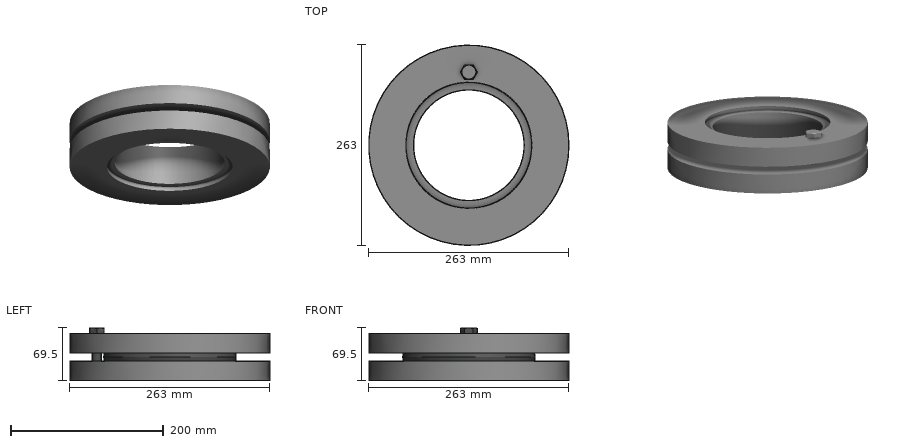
import cadquery as cq
import math

flange_diameter = 263.0
flange_thickness = 25.8
flange_gap = 10.5
pack_height = 2 * flange_thickness + flange_gap
half_pack = pack_height / 2

ring_bore_diameter = 145.0
ridge_diameter = 174.0
flange_mouth_diameter = 165.0
ring_recess = 5.8
half_ring = half_pack - ring_recess

bolt_offset = 96.0
shank_diameter = 12.0
head_height = 7.4
head_across_flats = 19.2
head_face_diameter = 18.5
head_chamfer_angle = 30.0


def cone_radius(height):
    """Radius of the shared conical seat at a height from the middle plane."""
    taper = (ridge_diameter - flange_mouth_diameter) / 2 / half_pack
    return ridge_diameter / 2 - taper * abs(height)


def revolve_about_z(points):
    """Revolve a closed (radius, height) outline about the Z axis."""
    return cq.Workplane("XZ").polyline(points).close().revolve(360, (0, 0, 0), (0, 1, 0))


def make_flange(side):
    """Flange with a tapered bore and bolt hole; side is 1 for upper, -1 for lower."""
    inner_face = side * flange_gap / 2
    outer_face = side * half_pack
    flange = revolve_about_z([
        (cone_radius(inner_face), inner_face),
        (flange_diameter / 2, inner_face),
        (flange_diameter / 2, outer_face),
        (cone_radius(outer_face), outer_face),
    ])
    bolt_hole = (
        cq.Workplane("XY", origin=(0, bolt_offset, -half_pack))
        .circle(shank_diameter / 2)
        .extrude(pack_height)
    )
    return flange.cut(bolt_hole)


def make_inner_ring():
    """Straight-bored ring whose outside tapers both ways from a middle ridge."""
    bore_radius = ring_bore_diameter / 2
    return revolve_about_z([
        (bore_radius, -half_ring),
        (cone_radius(half_ring), -half_ring),
        (ridge_diameter / 2, 0),
        (cone_radius(half_ring), half_ring),
        (bore_radius, half_ring),
    ])


def make_bolt():
    """Hex bolt through both flanges, with the head corners chamfered on top."""
    across_corners = head_across_flats / math.cos(math.pi / 6)
    corner_radius = across_corners / 2
    face_radius = head_face_diameter / 2
    chamfer_drop = (corner_radius - face_radius) * math.tan(math.radians(head_chamfer_angle))

    head = cq.Workplane("XY").polygon(6, across_corners).extrude(head_height)
    chamfer_envelope = revolve_about_z([
        (0, 0),
        (corner_radius, 0),
        (corner_radius, head_height - chamfer_drop),
        (face_radius, head_height),
        (0, head_height),
    ])
    shank = cq.Workplane("XY").circle(shank_diameter / 2).extrude(-pack_height)
    bolt = head.intersect(chamfer_envelope).union(shank)
    return bolt.translate((0, bolt_offset, half_pack))


flanges = [make_flange(side) for side in (1, -1)]
inner_ring = make_inner_ring()
bolt = make_bolt()

result = cq.Compound.makeCompound([
    *[flange.val() for flange in flanges],
    inner_ring.val(),
    bolt.val(),
])